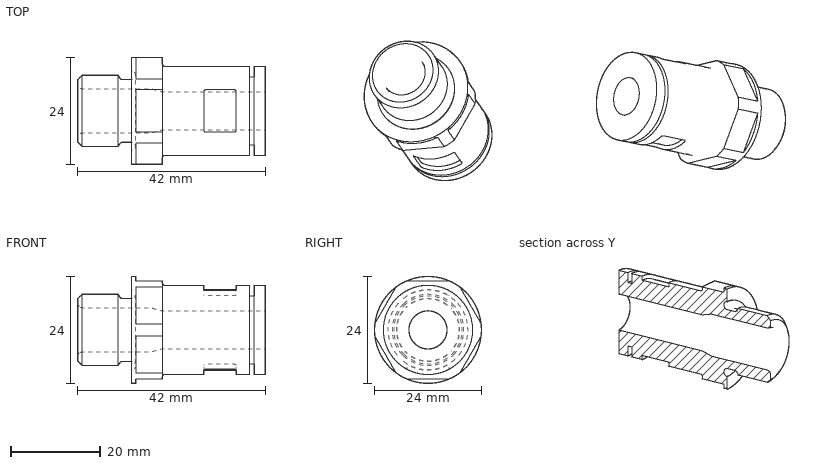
import cadquery as cq
import math

length = 42.0
relief_start = 9.07
flange_face = 12.0
flange_width = 1.0
hex_end = 19.0
window_start = 28.25
window_end = 35.5
ring_groove_start = 38.5
ring_groove_width = 0.95

thread_radius = 16.0 / 2
relief_radius = 14.15 / 2
flange_radius = 24.0 / 2
body_radius = 20.0 / 2
ring_groove_radius = 15.3 / 2

thread_chamfer = 1.0
relief_slope = math.radians(60)
relief_fillet = 0.6
face_groove_radius = 0.92
body_fillet = 0.5

hex_flat_distance = 22.0 / 2
window_width = 9.5
window_floor_radius = 9.05
window_corner = 0.4
cutter_margin = 0.4

mouth_radius = 12.0 / 2
throat_radius = 9.9 / 2
bore_radius = 8.5 / 2
mouth_depth = 1.0
taper_length = 2.5
taper_end = hex_end


def rounded_point(center, radius, angle):
    """Point on a circle in the axial half plane."""
    return (center[0] + radius * math.cos(angle), center[1] + radius * math.sin(angle))


def revolve_about_x(profile):
    return profile.close().revolve(360, (0, 0, 0), (1, 0, 0))


def make_turned_body():
    cone_drop = thread_radius - relief_radius - relief_fillet * (1 - math.cos(relief_slope))
    cone_end = relief_start + cone_drop / math.tan(relief_slope)
    fillet_end = cone_end + relief_fillet * math.sin(relief_slope)
    relief_center = (fillet_end, relief_radius + relief_fillet)
    half_slope = relief_slope / 2
    groove_middle = relief_radius + face_groove_radius
    blend_center = (hex_end + body_fillet, body_radius + body_fillet)
    ring_start = ring_groove_start + ring_groove_width

    profile = (
        cq.Workplane("XY")
        .moveTo(0, 0)
        .lineTo(0, thread_radius - thread_chamfer)
        .lineTo(thread_chamfer, thread_radius)
        .lineTo(relief_start, thread_radius)
        .lineTo(cone_end, thread_radius - cone_drop)
        .threePointArc(
            rounded_point(relief_center, relief_fillet, -math.pi / 2 - half_slope),
            (fillet_end, relief_radius),
        )
        .lineTo(flange_face, relief_radius)
        .threePointArc(
            (flange_face + face_groove_radius, groove_middle),
            (flange_face, groove_middle + face_groove_radius),
        )
        .lineTo(flange_face, flange_radius)
        .lineTo(hex_end, flange_radius)
        .lineTo(hex_end, body_radius + body_fillet)
        .threePointArc(
            rounded_point(blend_center, body_fillet, math.radians(225)),
            (hex_end + body_fillet, body_radius),
        )
        .lineTo(ring_groove_start, body_radius)
        .lineTo(ring_groove_start, ring_groove_radius)
        .lineTo(ring_start, ring_groove_radius)
        .lineTo(ring_start, body_radius)
        .lineTo(length, body_radius)
        .lineTo(length, 0)
    )
    return revolve_about_x(profile)


def make_bore():
    mouth_center = (mouth_depth, mouth_radius)
    mouth_curve = mouth_radius - throat_radius
    diagonal = math.sqrt(0.5)
    mouth_middle = (
        mouth_center[0] - mouth_depth * diagonal,
        mouth_center[1] - mouth_curve * diagonal,
    )
    profile = (
        cq.Workplane("XY")
        .moveTo(0, 0)
        .lineTo(0, mouth_radius)
        .threePointArc(mouth_middle, (mouth_depth, throat_radius))
        .lineTo(taper_end - taper_length, throat_radius)
        .lineTo(taper_end, bore_radius)
        .lineTo(length, bore_radius)
        .lineTo(length, 0)
    )
    return revolve_about_x(profile)


def make_hex_cutter():
    start = flange_face + flange_width
    width = hex_end - start
    corner_diameter = 2 * hex_flat_distance / math.cos(math.pi / 6)
    plane = cq.Workplane("YZ", origin=(start, 0, 0))
    hexagon = plane.polygon(6, corner_diameter).extrude(width)
    return plane.circle(flange_radius + cutter_margin).extrude(width).cut(hexagon)


def make_window_cutters():
    window_length = window_end - window_start
    window_center = (window_start + window_end) / 2
    block = (
        cq.Workplane("XY", origin=(window_center, 0, 0))
        .rect(window_length, window_width)
        .extrude(flange_radius, both=True)
        .edges("|Z")
        .fillet(window_corner)
    )
    core = cq.Workplane("YZ").circle(window_floor_radius).extrude(length)
    return block.cut(core)


result = (
    make_turned_body()
    .cut(make_hex_cutter())
    .cut(make_window_cutters())
    .cut(make_bore())
)